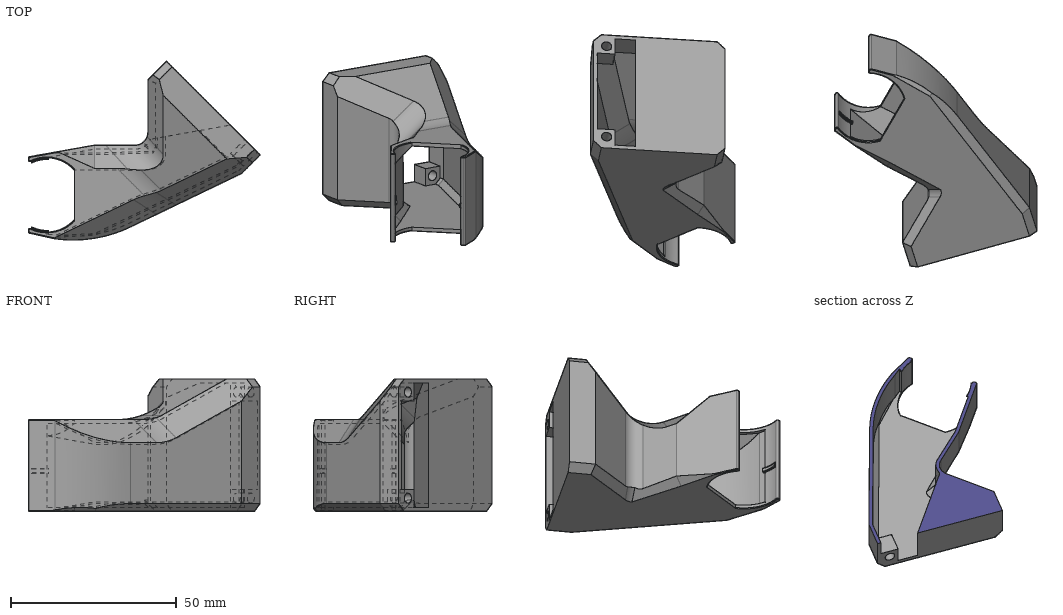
import cadquery as cq
import math

LARGE = 200.0
MARGIN = 0.05
CAVITY_REACH = 5.0
WALL = 1.2

FACE_SIDE = 40.0
BLOCK_DEPTH = 8.0
FACE_DISTANCE = 54.1
FACE_SHIFT = -17.0

LOW_ROOF_Z = 27.75
HIGH_ROOF_Z = FACE_SIDE
VALLEY_DISTANCE = 23.2
VALLEY_RADIUS = 10.0
VALLEY_CHAMFER_RADIUS = 20.0
TOP_CHAMFER = 7.0
SMALL_CHAMFER = 2.4

REAR_WALL_Y = 15.03
REAR_WALL_START_X = 14.35
FRONT_WALL_ANGLE = 25.7
FRONT_ARC_RADIUS = 40.0
FRONT_ARC_LOWEST_Y = -13.65
ELBOW_RADIUS = 3.8
ELBOW_CHAMFER_RADIUS = 9.0
ROOF_TAPER_START_X = 3.2
FLOOR_TAPER_START_X = -2.0
ARM_CHAMFER = 1.2
ARM_CHAMFER_ANGLE = 3.0

BORE_RADIUS = 11.2
BORE_FLAT_X = 8.3
TIP_X = -5.58
TIP_OUTER_Y = 11.5
ARM_END_X = 2.5
TIP_ROUND = 0.55
RIM_CHAMFER = 0.25

RIB_Z = 12.25
RIB_HEIGHT = 1.5
RIB_DEPTH = 0.5
RIB_START_X = -4.6
RIB_END_X = 0.5

SCREW_OFFSET = 16.0
BOSS_SIDE = 6.6
BOSS_DEPTH = 6.0
SCREW_DIAMETER = 3.0

UP = cq.Vector(0, 0, 1)
FACING = cq.Vector(1, 1, 0).normalized()
SIDEWAYS = cq.Vector(-1, 1, 0).normalized()
FACE_CENTRE = FACING * FACE_DISTANCE + SIDEWAYS * FACE_SHIFT

FRONT_TILT = math.radians(FRONT_WALL_ANGLE)
FRONT_NORMAL = cq.Vector(math.sin(FRONT_TILT), -math.cos(FRONT_TILT), 0)
REAR_BLOCK_EDGE = FACE_CENTRE + SIDEWAYS * (FACE_SIDE / 2) - FACING * BLOCK_DEPTH
FRONT_BLOCK_EDGE = FACE_CENTRE - SIDEWAYS * (FACE_SIDE / 2) - FACING * BLOCK_DEPTH

RAMP_RUN = FACE_DISTANCE - BLOCK_DEPTH - VALLEY_DISTANCE
RAMP_ANGLE = math.atan2(HIGH_ROOF_Z - LOW_ROOF_Z, RAMP_RUN)
RAMP_NORMAL = UP * math.cos(RAMP_ANGLE) - FACING * math.sin(RAMP_ANGLE)


def plane_at(normal, point):
    """Plane through a point."""
    unit = normal.normalized()
    return unit, unit.dot(point)


def chamfer_plane(first, second, size):
    """Plane cutting the edge of two faces, for a chamfer made by offsetting both faces by size."""
    (normal_a, distance_a), (normal_b, distance_b) = first, second
    total = normal_a + normal_b
    half_angle = normal_a.getAngle(normal_b) / 2
    depth = size * math.tan(half_angle) * math.sin(half_angle)
    return total.normalized(), (distance_a + distance_b) / total.Length - depth


def taper_plane(faded, corner, size, up):
    """Plane fading a rear wall chamfer out, from full size at corner to nothing at faded."""
    on_roof = corner - cq.Vector(0, size, 0)
    on_wall = corner - up * size
    normal = (on_roof - faded).cross(on_wall - faded)
    if normal.dot(up) < 0:
        normal = normal * -1
    return plane_at(normal, faded)


FLOOR = plane_at(UP * -1, cq.Vector(0, 0, 0))
LOW_ROOF = plane_at(UP, UP * LOW_ROOF_Z)
HIGH_ROOF = plane_at(UP, UP * HIGH_ROOF_Z)
RAMP = plane_at(RAMP_NORMAL, FACING * VALLEY_DISTANCE + UP * LOW_ROOF_Z)
FRONT = plane_at(FRONT_NORMAL, FRONT_BLOCK_EDGE)
REAR = plane_at(cq.Vector(0, 1, 0), cq.Vector(0, REAR_WALL_Y, 0))
WING = plane_at(cq.Vector(-1, 0, 0), REAR_BLOCK_EDGE)
REAR_SIDE = plane_at(SIDEWAYS, REAR_BLOCK_EDGE)
FRONT_SIDE = plane_at(SIDEWAYS * -1, FRONT_BLOCK_EDGE)
ARM_SLOPE = (REAR_WALL_Y - TIP_OUTER_Y) / (REAR_WALL_START_X - TIP_X)
REAR_ARM = plane_at(cq.Vector(-ARM_SLOPE, 1, 0), cq.Vector(TIP_X, TIP_OUTER_Y, 0))


def rear_taper(start_x, z, size, up):
    """Taper plane of a rear wall chamfer that fades in along the rear arm from start_x."""
    corner = cq.Vector(REAR_WALL_START_X, REAR_WALL_Y, z)
    faded = cq.Vector(start_x, REAR_WALL_Y - ARM_SLOPE * (REAR_WALL_START_X - start_x), z)
    return taper_plane(faded, corner, size, up)


def arm_underside_plane():
    """Plane of the small underside chamfer below the curved front wall."""
    tilt = math.radians(ARM_CHAMFER_ANGLE)
    normal = cq.Vector(math.sin(tilt), -math.cos(tilt), 0)
    arc_point = front_arc_centre() + normal * FRONT_ARC_RADIUS
    return chamfer_plane(plane_at(normal, arc_point), FLOOR, ARM_CHAMFER)


def beyond(plane, inset):
    """Large block on the outer side of a plane that is first moved inwards by inset."""
    normal, distance = plane
    base = cq.Plane(origin=(normal * (distance - inset)).toTuple(), normal=normal.toTuple())
    return cq.Workplane(base).rect(2 * LARGE, 2 * LARGE).extrude(LARGE)


def valley(first, second, radius, inset):
    """Space beyond both planes, rounded along the line where they meet."""
    space = beyond(first, inset).intersect(beyond(second, inset))
    along = first[0].cross(second[0])
    middle = cq.Vertex.makeVertex(*(FACING * VALLEY_DISTANCE + UP * LOW_ROOF_Z).toTuple())
    edges = space.edges(cq.selectors.ParallelDirSelector(along)).vals()
    meeting_edge = min(edges, key=lambda edge: edge.distance(middle))
    return space.newObject([space.val().fillet(radius + inset, [meeting_edge])])


def front_arc_centre():
    """Centre of the arc that is tangent to the front wall and reaches the lowest Y."""
    centre_y = FRONT_ARC_LOWEST_Y + FRONT_ARC_RADIUS
    normal, distance = FRONT
    centre_x = (distance - FRONT_ARC_RADIUS - normal.y * centre_y) / normal.x
    return cq.Vector(centre_x, centre_y, 0)


def arm_end():
    """Point where the straight outside of the front arm meets the front arc."""
    centre = front_arc_centre()
    half_chord = math.sqrt(FRONT_ARC_RADIUS**2 - (ARM_END_X - centre.x) ** 2)
    return cq.Vector(ARM_END_X, centre.y - half_chord, 0)


def outline(inset, reach):
    """Plan outline with the elbow still filled.

    The curved and straight front wall is moved inwards by inset, the mounting face outwards by reach.
    """
    radius = FRONT_ARC_RADIUS - inset
    centre = front_arc_centre()
    arc_start = centre + (arm_end() - centre).normalized() * radius
    arc_middle = centre - cq.Vector(0, radius, 0)
    arc_end = centre + FRONT_NORMAL * radius
    front_edge = FRONT_BLOCK_EDGE - FRONT_NORMAL * inset
    outward = FACING * (BLOCK_DEPTH + reach)
    rear_face_corner = REAR_BLOCK_EDGE + outward
    front_face_corner = FRONT_BLOCK_EDGE + outward
    return (
        cq.Workplane("XY")
        .moveTo(TIP_X, TIP_OUTER_Y)
        .lineTo(REAR_WALL_START_X, REAR_WALL_Y)
        .lineTo(REAR_BLOCK_EDGE.x, REAR_BLOCK_EDGE.y)
        .lineTo(rear_face_corner.x, rear_face_corner.y)
        .lineTo(front_face_corner.x, front_face_corner.y)
        .lineTo(front_edge.x, front_edge.y)
        .lineTo(arc_end.x, arc_end.y)
        .threePointArc((arc_middle.x, arc_middle.y), (arc_start.x, arc_start.y))
        .lineTo(TIP_X, -TIP_OUTER_Y)
        .close()
    )


def body(inset=0.0, reach=0.0, roof_taper=True):
    """Solid duct with every face moved inwards by inset and the mounting face outwards by reach.

    With roof_taper the rear roof chamfer fades out along the clip arm, else it keeps its full size.
    """
    solid = outline(inset, reach).extrude(HIGH_ROOF_Z - 2 * inset).translate((0, 0, inset))
    past_rear_wall = beyond(REAR, 0)
    if inset:
        solid = solid.cut(beyond(REAR_ARM, inset)).cut(beyond(FRONT_SIDE, inset))
        solid = solid.cut(beyond(REAR_SIDE, inset).intersect(past_rear_wall))

    solid = solid.cut(valley(REAR, WING, ELBOW_RADIUS, inset))
    solid = solid.cut(valley(LOW_ROOF, RAMP, VALLEY_RADIUS, inset))

    front_low = chamfer_plane(LOW_ROOF, FRONT, TOP_CHAMFER)
    front_ramp = chamfer_plane(RAMP, FRONT, TOP_CHAMFER)
    solid = solid.cut(valley(front_low, front_ramp, VALLEY_CHAMFER_RADIUS, inset))
    rear_low = chamfer_plane(LOW_ROOF, REAR, TOP_CHAMFER)
    wing_ramp = chamfer_plane(RAMP, WING, TOP_CHAMFER)
    rear_space = valley(rear_low, wing_ramp, ELBOW_CHAMFER_RADIUS, inset)
    if roof_taper:
        taper = rear_taper(ROOF_TAPER_START_X, LOW_ROOF_Z, TOP_CHAMFER, UP)
        rear_space = rear_space.intersect(beyond(taper, inset))
    solid = solid.cut(rear_space)

    rear_under = chamfer_plane(FLOOR, REAR, SMALL_CHAMFER)
    wing_under = chamfer_plane(FLOOR, WING, SMALL_CHAMFER)
    under_space = valley(rear_under, wing_under, ELBOW_RADIUS, inset)
    taper = rear_taper(FLOOR_TAPER_START_X, 0, SMALL_CHAMFER, UP * -1)
    solid = solid.cut(under_space.intersect(beyond(taper, inset)))
    solid = solid.cut(beyond(chamfer_plane(FLOOR, FRONT, SMALL_CHAMFER), inset))
    solid = solid.cut(beyond(arm_underside_plane(), inset))

    for end in (FLOOR, HIGH_ROOF):
        rear_chamfer = beyond(chamfer_plane(REAR_SIDE, end, SMALL_CHAMFER), inset)
        solid = solid.cut(rear_chamfer.intersect(past_rear_wall))
        solid = solid.cut(beyond(chamfer_plane(FRONT_SIDE, end, SMALL_CHAMFER), inset))
    return solid


def bore():
    """Clip bore with a flat back."""
    past_flat = beyond(plane_at(cq.Vector(1, 0, 0), cq.Vector(BORE_FLAT_X, 0, 0)), 0)
    return cq.Workplane("XY").circle(BORE_RADIUS).extrude(LOW_ROOF_Z).cut(past_flat)


def rim_edges(z):
    """Edges around the bore and the clip arms at the given height."""
    low = (TIP_X - MARGIN, -TIP_OUTER_Y - BORE_RADIUS, z - MARGIN)
    high = (BORE_FLAT_X + MARGIN, TIP_OUTER_Y + BORE_RADIUS, z + MARGIN)
    return cq.selectors.BoxSelector(low, high, boundingbox=True)


def bosses():
    """Corner blocks behind the mounting face, one per screw."""
    frame = cq.Plane(
        origin=(FACE_CENTRE + UP * (FACE_SIDE / 2)).toTuple(),
        xDir=SIDEWAYS.toTuple(),
        normal=(FACING * -1).toTuple(),
    )
    centre = (FACE_SIDE - BOSS_SIDE) / 2
    corners = [(x, y) for x in (-1, 1) for y in (-1, 1)]
    blocks = (
        cq.Workplane(frame)
        .pushPoints([(x * centre, y * centre) for x, y in corners])
        .rect(BOSS_SIDE, BOSS_SIDE)
        .extrude(BOSS_DEPTH)
    )
    holes = (
        cq.Workplane(frame)
        .pushPoints([(x * SCREW_OFFSET, y * SCREW_OFFSET) for x, y in corners])
        .circle(SCREW_DIAMETER / 2)
        .extrude(BOSS_DEPTH)
    )
    return blocks.cut(holes)


def ribs():
    """Short snap ribs on the inside of both clip arms."""
    ring = (
        cq.Workplane("XY", origin=(0, 0, RIB_Z - RIB_HEIGHT / 2))
        .circle(BORE_RADIUS + RIB_DEPTH)
        .circle(BORE_RADIUS - RIB_DEPTH)
        .extrude(RIB_HEIGHT)
        .edges("%CIRCLE")
        .chamfer(RIB_DEPTH / 2)
    )
    middle = ((RIB_START_X + RIB_END_X) / 2, 0, RIB_Z)
    span = cq.Workplane("XY").box(RIB_END_X - RIB_START_X, 4 * BORE_RADIUS, RIB_HEIGHT).translate(middle)
    return ring.intersect(span)


def clip_with_duct():
    """Hollow duct with its bosses and bore, the arm ends rounded and the rims broken."""
    outer = body()
    behind_bore_axis = beyond(plane_at(cq.Vector(1, 0, 0), cq.Vector(0, 0, 0)), 0)
    cavity = body(WALL, CAVITY_REACH, roof_taper=False).intersect(behind_bore_axis)
    part = outer.cut(cavity).union(bosses().intersect(outer)).cut(bore())
    tips = cq.selectors.BoxSelector((TIP_X - MARGIN, -LARGE, 0), (TIP_X + MARGIN, LARGE, LARGE))
    part = part.edges(tips).edges("|Z").fillet(TIP_ROUND)
    for z in (0, LOW_ROOF_Z):
        part = part.edges(rim_edges(z)).edges("not |Y").chamfer(RIM_CHAMFER)
    return part


result = clip_with_duct().union(ribs())